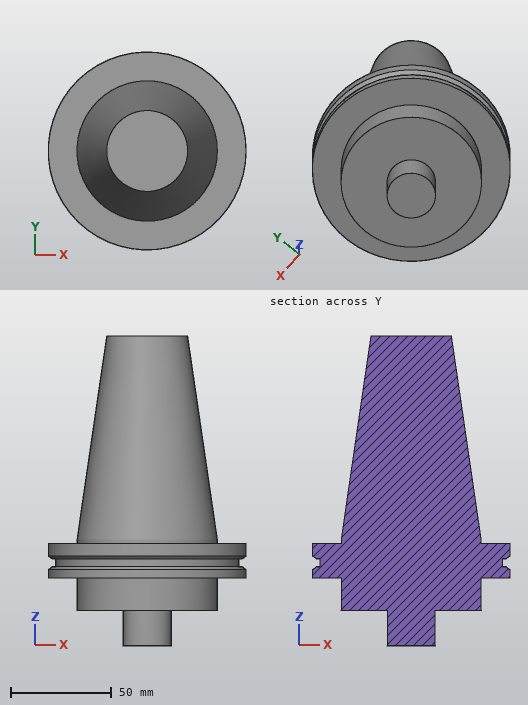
import cadquery as cq

total_length = 154.1

pilot_diameter = 24.0
body_diameter = 69.8
flange_diameter = 98.5
groove_diameter = 91.2
taper_tip_diameter = 40.2

pilot_length = 17.5
body_length = 16.2
lower_rim_height = 4.2
lower_bevel_height = 1.5
groove_floor_height = 3.9
upper_bevel_height = 1.4
upper_rim_height = 6.3
collar_height = 1.8

bevel_depth = 2.0

pilot_radius = pilot_diameter / 2
body_radius = body_diameter / 2
flange_radius = flange_diameter / 2
groove_radius = groove_diameter / 2
bevel_radius = flange_radius - bevel_depth
tip_radius = taper_tip_diameter / 2

body_bottom = pilot_length
flange_bottom = body_bottom + body_length
lower_rim_top = flange_bottom + lower_rim_height
groove_bottom = lower_rim_top + lower_bevel_height
groove_top = groove_bottom + groove_floor_height
upper_rim_bottom = groove_top + upper_bevel_height
flange_top = upper_rim_bottom + upper_rim_height
taper_bottom = flange_top + collar_height

half_section = [
    (0, 0),
    (pilot_radius, 0),
    (pilot_radius, body_bottom),
    (body_radius, body_bottom),
    (body_radius, flange_bottom),
    (flange_radius, flange_bottom),
    (flange_radius, lower_rim_top),
    (bevel_radius, groove_bottom),
    (groove_radius, groove_bottom),
    (groove_radius, groove_top),
    (bevel_radius, groove_top),
    (flange_radius, upper_rim_bottom),
    (flange_radius, flange_top),
    (body_radius, flange_top),
    (body_radius, taper_bottom),
    (tip_radius, total_length),
    (0, total_length),
]

result = (
    cq.Workplane("XZ")
    .polyline(half_section)
    .close()
    .revolve(360, (0, 0), (0, 1))
)